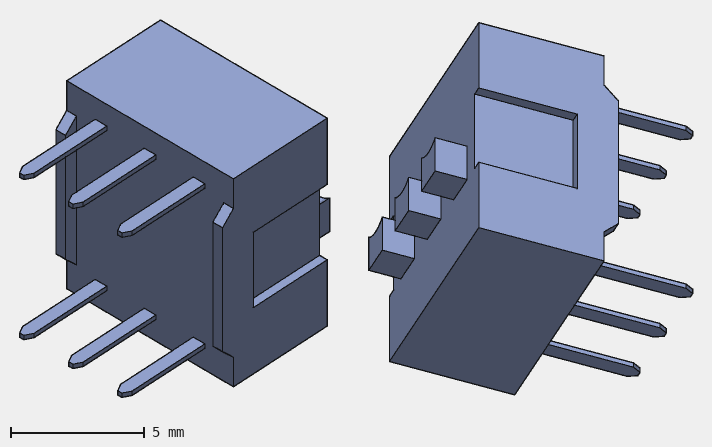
import cadquery as cq

body_width = 8.62
body_depth = 5.09
body_height = 9.9

sides = (-1, 1)

foot_width = 0.5
foot_length = 7.08
foot_height = 0.59

recess_depth = 0.4
recess_length = 4.0
recess_height = 3.58

knob_pitch = 2.55
pin_pitch = 2.54
columns = (-1, 0, 1)

pin_rows = (-1, 1)
pin_row_spacing = 7.62
pin_length = 4.3
pin_width = 0.6
pin_thickness = 0.21
tip_length = 0.35
tip_width = 0.21

knob_length = 1.31
knob_width = 1.31
knob_height = 1.6
knob_dip = 0.24


def make_body():
    """Plain block behind the plane y = 0."""
    return cq.Workplane("XY").box(body_width, body_depth, body_height, centered=(True, False, True))


def make_foot(side):
    """Standoff rail along one side edge of the front face, with 45 degree ends."""
    half_length = foot_length / 2
    profile = [
        (0, -half_length),
        (-foot_height, -half_length + foot_height),
        (-foot_height, half_length - foot_height),
        (0, half_length),
    ]
    center_x = side * (body_width - foot_width) / 2
    rail = cq.Workplane("YZ").polyline(profile).close().extrude(foot_width / 2, both=True)
    return rail.translate((center_x, 0, 0))


def make_side_recess(side):
    """Shallow pocket in one side face, open at the back of the body."""
    center_x = side * (body_width - recess_depth) / 2
    center_y = body_depth - recess_length / 2
    return cq.Workplane("XY").box(recess_depth, recess_length, recess_height).translate((center_x, center_y, 0))


def make_pin(center_x, center_z):
    """Flat contact pin with a tapered tip."""
    shoulder_y = -(pin_length - tip_length)
    outline = [
        (-pin_width / 2, 0),
        (-pin_width / 2, shoulder_y),
        (-tip_width / 2, -pin_length),
        (tip_width / 2, -pin_length),
        (pin_width / 2, shoulder_y),
        (pin_width / 2, 0),
    ]
    pin = cq.Workplane("XY").polyline(outline).close().extrude(pin_thickness / 2, both=True)
    return pin.translate((center_x, 0, center_z))


def make_knob(center_x):
    """Slider knob on the back face, level with the lower edge of the recesses and dished on top."""
    bottom_z = -recess_height / 2
    top_z = bottom_z + knob_height
    half_width = knob_width / 2
    knob = (
        cq.Workplane("XZ")
        .moveTo(-half_width, bottom_z)
        .lineTo(half_width, bottom_z)
        .lineTo(half_width, top_z)
        .threePointArc((0, top_z - knob_dip), (-half_width, top_z))
        .close()
        .extrude(-knob_length)
    )
    return knob.translate((center_x, body_depth, 0))


result = make_body()

for side in sides:
    result = result.union(make_foot(side)).cut(make_side_recess(side))

for column in columns:
    result = result.union(make_knob(column * knob_pitch))
    for row in pin_rows:
        result = result.union(make_pin(column * pin_pitch, row * pin_row_spacing / 2))